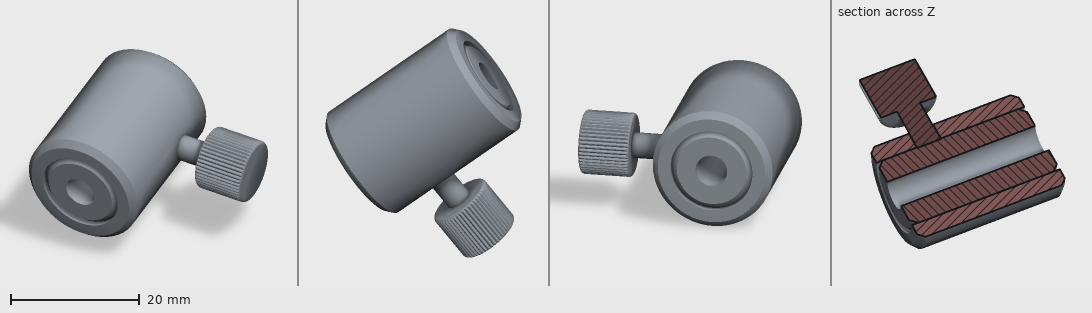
import cadquery as cq
import math

OVERALL_LENGTH = 31.5

HOUSING_DIAMETER = 19.0
HOUSING_LENGTH = 25.4
SLEEVE_DIAMETER = 13.0
BORE_DIAMETER = 5.0
END_CHAMFER = 1.0

SHANK_DIAMETER = 4.0
SCREW_FROM_BACK_END = 9.0
KNOB_DIAMETER = 10.02
KNOB_LENGTH = 8.0
KNOB_EDGE_RADIUS = 0.5
GROOVE_COUNT = 50
GROOVE_DEPTH = 0.25
GROOVE_ANGLE = 90.0
CUT_CLEARANCE = 0.3

SCREW_Y = HOUSING_LENGTH / 2 - SCREW_FROM_BACK_END
SHANK_START_X = SLEEVE_DIAMETER / 2
KNOB_END_X = OVERALL_LENGTH - HOUSING_DIAMETER / 2
KNOB_START_X = KNOB_END_X - KNOB_LENGTH


def cylinder_along_y(diameter, length):
    """Cylinder on the Y axis, centred on the origin."""
    plane = cq.Workplane("XZ", origin=(0, length / 2, 0))
    return plane.circle(diameter / 2).extrude(length)


def cylinder_along_screw(diameter, start_x, end_x):
    """Cylinder on the screw axis between two X positions."""
    plane = cq.Workplane("YZ", origin=(start_x, SCREW_Y, 0))
    return plane.circle(diameter / 2).extrude(end_x - start_x)


def make_housing():
    """Chamfered tube with a cross hole through one wall for the screw shank."""
    body = cylinder_along_y(HOUSING_DIAMETER, HOUSING_LENGTH).edges("%CIRCLE").chamfer(END_CHAMFER)
    sleeve_seat = cylinder_along_y(SLEEVE_DIAMETER, HOUSING_LENGTH)
    screw_hole = cylinder_along_screw(SHANK_DIAMETER, 0, KNOB_START_X)
    return body.cut(sleeve_seat).cut(screw_hole)


def make_sleeve():
    """Chamfered sleeve that fills the housing and carries the central bore."""
    body = cylinder_along_y(SLEEVE_DIAMETER, HOUSING_LENGTH).edges("%CIRCLE").chamfer(END_CHAMFER)
    return body.cut(cylinder_along_y(BORE_DIAMETER, HOUSING_LENGTH))


def make_knurl_grooves():
    """V grooves along the knob, evenly spaced around it, one of them facing -Y."""
    root_radius = KNOB_DIAMETER / 2 - GROOVE_DEPTH
    outer_radius = KNOB_DIAMETER / 2 + CUT_CLEARANCE
    half_width = (outer_radius - root_radius) * math.tan(math.radians(GROOVE_ANGLE / 2))
    groove = (
        cq.Workplane("YZ", origin=(KNOB_START_X, SCREW_Y, 0))
        .polyline([(-root_radius, 0), (-outer_radius, half_width), (-outer_radius, -half_width)])
        .close()
        .extrude(KNOB_LENGTH)
    )
    axis_start = (KNOB_START_X, SCREW_Y, 0)
    axis_end = (KNOB_END_X, SCREW_Y, 0)
    pitch_angle = 360 / GROOVE_COUNT
    return [groove.rotate(axis_start, axis_end, i * pitch_angle).val() for i in range(GROOVE_COUNT)]


def make_thumb_screw():
    """Plain shank that bears on the sleeve, with a knurled, round-edged knob."""
    plain_knob = cylinder_along_screw(KNOB_DIAMETER, KNOB_START_X, KNOB_END_X)
    knob = plain_knob.edges("%CIRCLE").fillet(KNOB_EDGE_RADIUS)
    knurled_knob = cq.Workplane(knob.val().cut(*make_knurl_grooves()))
    shank = cylinder_along_screw(SHANK_DIAMETER, SHANK_START_X, KNOB_START_X)
    return knurled_knob.union(shank)


housing = make_housing()
sleeve = make_sleeve()
thumb_screw = make_thumb_screw()

result = cq.Compound.makeCompound([housing.val(), sleeve.val(), thumb_screw.val()])